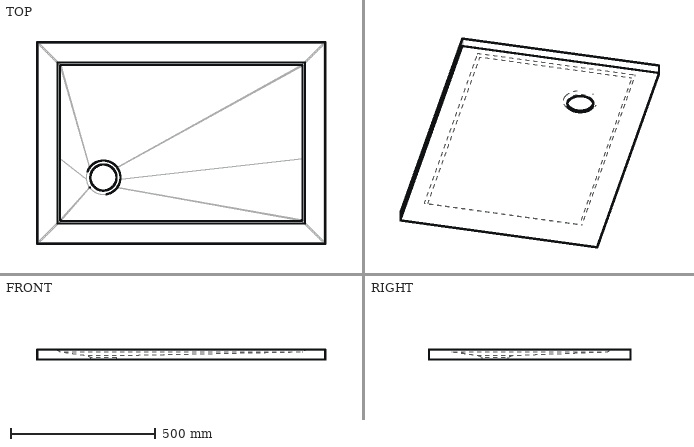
import cadquery as cq
import math

length = 999.93
width = 700.0
height = 35.0
corner_radius = 3.0
edge_radius = 3.0

land_width = 5.0
rim_inset = 70.0
rim_drop = 2.0
lip_run = 10.0
lip_drop = 7.0

drain_x = -270.0
drain_y = -120.0
drain_radius = 45.0
collar_radius = 59.0
collar_drop = 6.0
fall_to_collar = 12.5

crease_angle = 36.0
crease_spread = 0.5

joint_wall_y = -55.0
joint_angle = 6.0

rim_inner_z = height - rim_drop
floor_z = rim_inner_z - lip_drop
collar_z = floor_z - fall_to_collar
drain_z = collar_z - collar_drop


def inset_size(inset):
    """Length and width of the tray outline moved inward."""
    return length - 2 * inset, width - 2 * inset


def rectangular_funnel(top_inset, top_z, bottom_inset, bottom_z):
    """Solid tapering with straight sides between two rounded rectangles."""
    top = cq.Sketch().rect(*inset_size(top_inset)).vertices().fillet(corner_radius)
    bottom = cq.Sketch().rect(*inset_size(bottom_inset)).vertices().fillet(corner_radius)
    return (
        cq.Workplane("XY", origin=(0, 0, bottom_z))
        .placeSketch(bottom, top.moved(cq.Location(cq.Vector(0, 0, top_z - bottom_z))))
        .loft(ruled=True)
    )


def arc_edge(center, radius, start_angle, end_angle):
    """Horizontal arc between two angles in degrees from +X."""

    def point(angle):
        turn = math.radians(angle)
        return center + cq.Vector(radius * math.cos(turn), radius * math.sin(turn), 0)

    return cq.Edge.makeThreePointArc(
        point(start_angle), point((start_angle + end_angle) / 2), point(end_angle)
    )


def floor_funnel():
    """Solid between the floor's rounded rectangle and the collar, with ruled panels side by side."""
    floor_length, floor_width = inset_size(rim_inset + lip_run)
    end_x = floor_length / 2
    side_y = floor_width / 2
    flat_x = end_x - corner_radius
    flat_y = side_y - corner_radius

    def wall(start, end):
        return cq.Edge.makeLine(cq.Vector(*start, floor_z), cq.Vector(*end, floor_z))

    def corner(x, y, start_angle):
        return arc_edge(cq.Vector(x, y, floor_z), corner_radius, start_angle, start_angle + 90)

    back_right = crease_angle
    back_left = 180 - crease_angle
    front_left = 180 + crease_angle
    front_right = 360 - crease_angle
    outline = [
        (wall((end_x, -flat_y), (end_x, joint_wall_y)), -joint_angle),
        (wall((end_x, joint_wall_y), (end_x, flat_y)), back_right - crease_spread),
        (corner(flat_x, flat_y, 0), back_right + crease_spread),
        (wall((flat_x, side_y), (-flat_x, side_y)), back_left - crease_spread),
        (corner(-flat_x, flat_y, 90), back_left + crease_spread),
        (wall((-end_x, flat_y), (-end_x, joint_wall_y)), 180 + joint_angle),
        (wall((-end_x, joint_wall_y), (-end_x, -flat_y)), front_left - crease_spread),
        (corner(-flat_x, -flat_y, 180), front_left + crease_spread),
        (wall((-flat_x, -side_y), (flat_x, -side_y)), front_right - crease_spread),
        (corner(flat_x, -flat_y, 270), front_right + crease_spread),
    ]
    collar_center = cq.Vector(drain_x, drain_y, collar_z)
    collar_edges = []
    panels = []
    start_angle = crease_spread - crease_angle
    for outer_edge, end_angle in outline:
        collar_edge = arc_edge(collar_center, collar_radius, start_angle, end_angle)
        collar_edges.append(collar_edge)
        panels.append(cq.Face.makeRuledSurface(outer_edge, collar_edge))
        start_angle = end_angle
    lid = cq.Face.makeFromWires(cq.Wire.assembleEdges([edge for edge, _ in outline]))
    base = cq.Face.makeFromWires(cq.Wire.assembleEdges(collar_edges))
    shell = cq.Shell.makeShell(panels + [lid, base])
    return cq.Workplane(obj=cq.Solid.makeSolid(shell).fix())


def drain_collar():
    """Cone narrowing from the floor to the drain hole."""
    drain_center = cq.Vector(drain_x, drain_y, drain_z)
    cone = cq.Solid.makeCone(drain_radius, collar_radius, collar_drop, pnt=drain_center)
    return cq.Workplane(obj=cone)


def drain_hole():
    """Straight hole from the collar through the underside."""
    return cq.Workplane("XY").center(drain_x, drain_y).circle(drain_radius).extrude(drain_z)


slab = (
    cq.Workplane("XY")
    .box(length, width, height, centered=(True, True, False))
    .edges("|Z")
    .fillet(corner_radius)
    .faces(">Z")
    .edges()
    .fillet(edge_radius)
)

result = (
    slab.cut(rectangular_funnel(land_width, height, rim_inset, rim_inner_z))
    .cut(rectangular_funnel(rim_inset, rim_inner_z, rim_inset + lip_run, floor_z))
    .cut(floor_funnel())
    .cut(drain_collar())
    .cut(drain_hole())
)